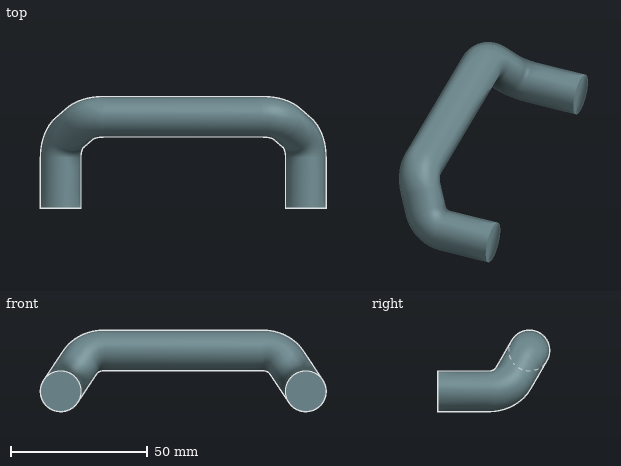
import cadquery as cq
import math

overall_width = 105.0
rod_diameter = 15.0
bend_radius = 10.0
leg_length = 25.0
rise = 15.0
inset = 10.0
slope_angle = 60.0

leg_x = (overall_width - rod_diameter) / 2
grip_x = leg_x - inset
grip_y = leg_length + rise / math.tan(math.radians(slope_angle))
corners = [
    cq.Vector(-leg_x, 0, 0),
    cq.Vector(-leg_x, leg_length, 0),
    cq.Vector(-grip_x, grip_y, rise),
    cq.Vector(grip_x, grip_y, rise),
    cq.Vector(leg_x, leg_length, 0),
    cq.Vector(leg_x, 0, 0),
]


def bend_points(before, corner, after):
    """Return the start, middle and end of the arc that rounds a corner."""
    to_before = (before - corner).normalized()
    to_after = (after - corner).normalized()
    half_angle = to_before.getAngle(to_after) / 2
    tangent_length = bend_radius / math.tan(half_angle)
    corner_to_arc = bend_radius / math.sin(half_angle) - bend_radius
    bisector = (to_before + to_after).normalized()
    return (
        corner + to_before * tangent_length,
        corner + bisector * corner_to_arc,
        corner + to_after * tangent_length,
    )


def rounded_path(points):
    """Join straight runs and tangent arcs into one centreline wire."""
    edges = []
    run_start = points[0]
    for before, corner, after in zip(points, points[1:], points[2:]):
        arc_start, arc_middle, arc_end = bend_points(before, corner, after)
        edges.append(cq.Edge.makeLine(run_start, arc_start))
        edges.append(cq.Edge.makeThreePointArc(arc_start, arc_middle, arc_end))
        run_start = arc_end
    edges.append(cq.Edge.makeLine(run_start, points[-1]))
    return cq.Wire.assembleEdges(edges)


centreline = rounded_path(corners)
result = (
    cq.Workplane("XZ", origin=corners[0].toTuple())
    .circle(rod_diameter / 2)
    .sweep(cq.Workplane("XY").newObject([centreline]))
)